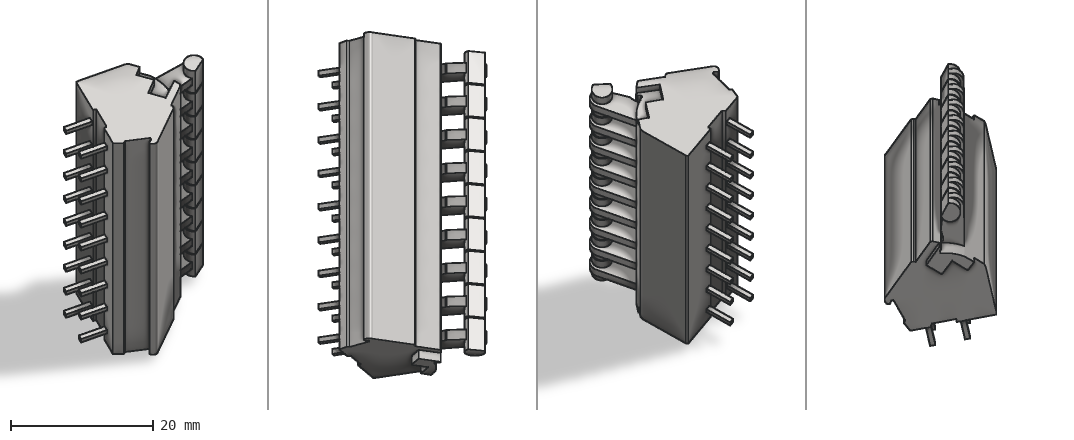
import cadquery as cq
import math

total_height = 47.3
tab_height = 1.32
housing_height = total_height - tab_height
pole_count = 9
pole_span = 40.0
pole_pitch = pole_span / (pole_count - 1)
first_pole_z = 2.75

pin_size = 0.75
pin_length = 4.0
pin_root = 0.95
front_pin_x = 5.05
pin_x_positions = (front_pin_x, front_pin_x + pole_pitch)

lever_thickness = 1.5
lever_top_y = 18.25
grip_radius = 1.45
grip_gap = 0.25
grip_length = pole_pitch - grip_gap
grip_x = 3.2
grip_y = lever_top_y - grip_radius
flat_angle = 38
flat_distance = 0.85
nose_radius = 1.45
nose_x = 2.75
nose_y = lever_top_y - nose_radius
nose_start_drop = 0.25

groove_left_x = 5.75
groove_depth = 0.45
shoulder_y = 8.0
shoulder_drop = 0.35
shoulder_inset = 0.15
slope_width = 2.45
arc_start = (slope_width, shoulder_y + slope_width)
arc_middle = (4.2, 11.3)
arc_end = (5.68, 11.65)


def housing_profile():
    """Closed XY outline of the housing."""
    return (
        cq.Workplane("XY")
        .moveTo(0.1, 0)
        .lineTo(0, 0.3)
        .lineTo(0, shoulder_y - shoulder_drop)
        .lineTo(shoulder_inset, shoulder_y + shoulder_inset)
        .lineTo(*arc_start)
        .threePointArc(arc_middle, arc_end)
        .lineTo(5.68, 11.9)
        .lineTo(5.45, 12.2)
        .lineTo(5.45, 12.55)
        .lineTo(6.5, 13.05)
        .lineTo(6.8, 13.05)
        .lineTo(9.5, 10.35)
        .lineTo(9.75, 10.5)
        .lineTo(10.1, 10.5)
        .lineTo(14.6, 6.0)
        .threePointArc((15.0, 5.35), (14.6, 4.7))
        .lineTo(14.4, 4.7)
        .lineTo(14.05, 5.15)
        .lineTo(13.75, 5.15)
        .lineTo(12.8, 1.7)
        .lineTo(13.05, 1.35)
        .lineTo(12.45, 0)
        .lineTo(9.45, 0)
        .lineTo(9.2, groove_depth)
        .lineTo(groove_left_x, groove_depth)
        .lineTo(groove_left_x, 0)
        .close()
    )


def coupling_block(bottom_z):
    """W-shaped prism, trimmed to the housing outline, that forms the tab and the recess."""
    region = (
        cq.Workplane("XY", origin=(0, 0, bottom_z))
        .polyline([
            (1.32, 9.25),
            (2.45, 8.25),
            (4.3, 10.1),
            (6.15, 8.35),
            (8.0, 10.2),
            (5.65, 12.65),
            (5.2, 12.65),
            (0.85, 9.75),
        ])
        .close()
        .extrude(tab_height)
    )
    trim = housing_profile().extrude(tab_height).translate((0, 0, bottom_z))
    return region.intersect(trim)


def lever():
    """One lever, centred on Z = 0: a flat arm with a round grip across its end."""
    arm = (
        cq.Workplane("XY")
        .moveTo(*arc_start)
        .lineTo(nose_x - nose_radius, nose_y - nose_start_drop)
        .threePointArc(
            (nose_x - nose_radius * math.sqrt(0.5), nose_y + nose_radius * math.sqrt(0.5)),
            (nose_x, lever_top_y),
        )
        .lineTo(grip_x + grip_radius, lever_top_y)
        .lineTo(grip_x + grip_radius, grip_y)
        .lineTo(4.4, 16.0)
        .lineTo(4.9, 14.45)
        .lineTo(5.25, 13.35)
        .lineTo(5.15, 13.1)
        .lineTo(5.15, 12.0)
        .lineTo(5.65, 11.7)
        .lineTo(4.25, 10.4)
        .close()
        .extrude(lever_thickness / 2, both=True)
    )
    grip = (
        cq.Workplane("XY")
        .center(grip_x, grip_y)
        .circle(grip_radius)
        .extrude(grip_length / 2, both=True)
    )
    cutter_size = 4 * grip_radius
    flat_cutter = (
        cq.Workplane("XY")
        .box(cutter_size, cutter_size, pole_pitch)
        .translate((flat_distance + cutter_size / 2, 0, 0))
        .rotate((0, 0, 0), (0, 0, 1), flat_angle)
        .translate((grip_x, grip_y, 0))
    )
    return arm.union(grip).cut(flat_cutter)


def pin(x):
    """One square solder pin, centred on Z = 0."""
    return cq.Workplane("XY").box(pin_size, pin_length + pin_root, pin_size).translate(
        (x, (pin_root - pin_length) / 2, 0)
    )


result = housing_profile().extrude(housing_height)
result = result.cut(coupling_block(housing_height - tab_height))
result = result.union(coupling_block(-tab_height))

for pole in range(pole_count):
    pole_z = first_pole_z + pole * pole_pitch
    result = result.union(lever().translate((0, 0, pole_z)))
    for pin_x in pin_x_positions:
        result = result.union(pin(pin_x).translate((0, 0, pole_z)))